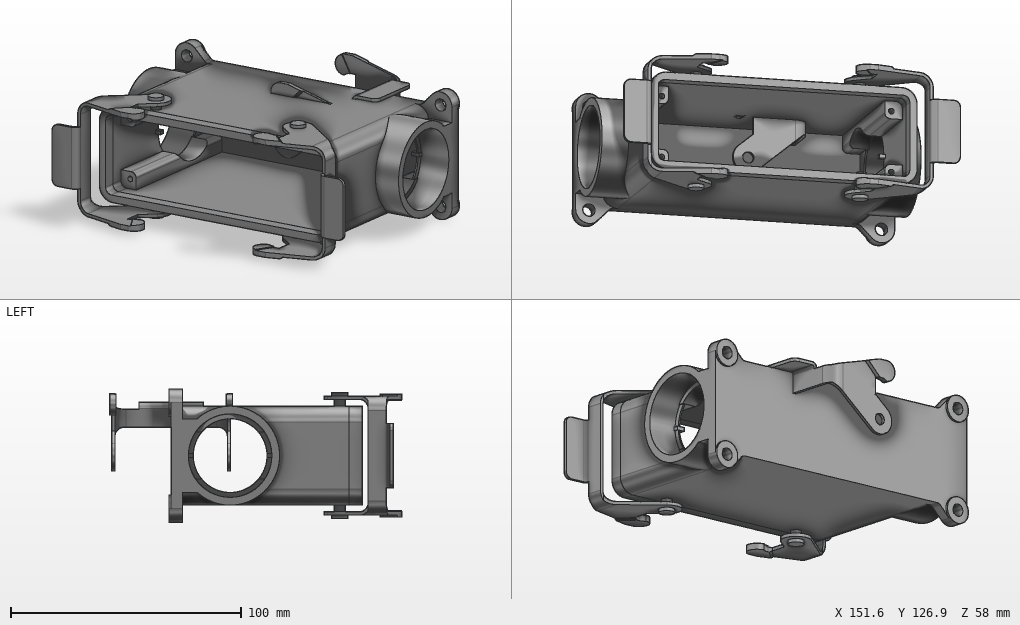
import cadquery as cq
import math

HOUSING_WIDTH = 120.0
HOUSING_HEIGHT = 43.0
HOUSING_DEPTH = 83.0
HOUSING_CORNER_RADIUS = 7.0
RIM_DEPTH = 5.75

CAVITY_WIDTH = 113.4
CAVITY_HEIGHT = 36.2
CAVITY_CORNER_RADIUS = 3.0
BACK_WALL = 3.4

POST_SIZE = 7.9
POST_CORNER_RADIUS = 2.5
POST_FRONT_Y = -71.0
SCREW_HOLE_DIAMETER = 2.46
SCREW_HOLE_DEPTH = 12.0
SCREW_HOLE_X = 51.8
SCREW_HOLE_Z = 13.6

TUBE_END_X = 72.0
TUBE_AXIS_Y = -25.6
TUBE_RADIUS = HOUSING_HEIGHT / 2
TUBE_BORE_DIAMETER = 36.24
TUBE_SHOULDER_X = 58.0
ENTRY_DIAMETER = 32.0
BLOCK_HEIGHT = 32.0
SHOULDER_RECESS_DEPTH = 0.5
SHOULDER_RECESS_HEIGHT = 20.4
RIB_THICKNESS = 1.7
RIB_INNER_X = 54.0
RIB_OUTER_RADIUS = 18.3

FLANGE_THICKNESS = 5.0
EAR_DIAMETER = 12.0
EAR_X = TUBE_END_X - EAR_DIAMETER / 2
EAR_Z = 23.0
EAR_PAD_HEIGHT = 1.0
EAR_HOLE_DIAMETER = 5.5
EAR_ROOT_RADIUS = 2.5

PIVOT_X = 37.0
PIVOT_Y = -73.2
PIN_DIAMETER = 4.9
PIN_HEAD_DIAMETER = 7.0
PIN_END_Z = 27.4

SHEET = 1.5
ARM_OUTER_W = 25.85
EYE_RADIUS = 6.75
EYE_HOLE_DIAMETER = 5.0
ARM_ANGLE = 39.3
BEND_RADIUS = 6.2
BAR_OUTER_U = 27.4
BAR_NEAR_V = 12.25
BAR_FAR_V = 20.2
NECK_U = 2.4
HOOK_MOUTH_V = 18.65
HOOK_TIP_U = -3.2
HOOK_TIP_V = 22.25
HOOK_TIP_RADIUS = 4.7
HOOK_TIP_BASE_U = HOOK_TIP_U + math.sqrt(HOOK_TIP_RADIUS**2 - (HOOK_TIP_V - HOOK_MOUTH_V) ** 2)
FAR_EDGE_ANGLE = 15.0
HOOK_STEP_START = 11.6
HOOK_STEP_END = 12.7
HOOK_RAISE_OUT = 0.85
HOOK_RAISE_IN = 0.45
HOOK_INNER_STEP_ANGLE = 28.0
LIP_END_U = 38.8
LIP_WIDTH = 28.0
LIP_CORNER_RADIUS = 3.0
LIP_NEAR_V = 21.75
LIP_BEND_RADIUS = 1.3


def rounded_block(width, height, radius, y_front, y_back):
    """Block along Y, with the four edges that run along Y rounded."""
    block = cq.Workplane("XZ", origin=(0, y_back, 0)).rect(width, height).extrude(y_back - y_front)
    return block.edges("|Y").fillet(radius)


def cylinder_x(diameter, x_start, x_end):
    """Cylinder on the cable entry axis."""
    plane = cq.Workplane("YZ", origin=(x_start, TUBE_AXIS_Y, 0))
    return plane.circle(diameter / 2).extrude(x_end - x_start)


def cylinder_y(diameter, x, z, y_front, y_back):
    return cq.Workplane("XZ", origin=(x, y_back, z)).circle(diameter / 2).extrude(y_back - y_front)


def cylinder_z(diameter, z_start, z_end):
    plane = cq.Workplane("XY", origin=(PIVOT_X, PIVOT_Y, z_start))
    return plane.circle(diameter / 2).extrude(z_end - z_start)


def all_four(quarter):
    """The quarter with its mirror images across X = 0 and Z = 0."""
    half = quarter.union(quarter.mirror("YZ"))
    return half.union(half.mirror("XY"))


def both_ends(end):
    return end.union(end.mirror("YZ"))


def make_flange_quarter():
    """Flange corner: an ear whose 45 degree side runs down to the top of the housing."""
    top = HOUSING_HEIGHT / 2
    diagonal = EAR_DIAMETER / 2 * math.sqrt(0.5)
    root_x = EAR_X - diagonal - (EAR_Z + diagonal - top)
    flange = (
        cq.Workplane("XZ")
        .moveTo(0, 0)
        .lineTo(TUBE_END_X, 0)
        .lineTo(TUBE_END_X, EAR_Z)
        .threePointArc((EAR_X, EAR_Z + EAR_DIAMETER / 2), (EAR_X - diagonal, EAR_Z + diagonal))
        .lineTo(root_x, top)
        .lineTo(0, top)
        .close()
        .extrude(FLANGE_THICKNESS)
    )
    root = cq.selectors.NearestToPointSelector((root_x, -FLANGE_THICKNESS / 2, top))
    flange = flange.edges("|Y").edges(root).fillet(EAR_ROOT_RADIUS)
    return flange.union(cylinder_y(EAR_DIAMETER, EAR_X, EAR_Z, -FLANGE_THICKNESS, EAR_PAD_HEIGHT))


def make_pin():
    shaft = cylinder_z(PIN_DIAMETER, CAVITY_HEIGHT / 2, PIN_END_Z)
    return shaft.union(cylinder_z(PIN_HEAD_DIAMETER, ARM_OUTER_W, PIN_END_Z))


def make_post():
    """Screw post in a corner of the cavity."""
    length = -BACK_WALL - POST_FRONT_Y
    inner_x = CAVITY_WIDTH / 2 - POST_SIZE
    inner_z = CAVITY_HEIGHT / 2 - POST_SIZE
    outer_x = (CAVITY_WIDTH + HOUSING_WIDTH) / 4
    outer_z = (CAVITY_HEIGHT + HOUSING_HEIGHT) / 4
    post = (
        cq.Workplane("XZ", origin=(0, -BACK_WALL, 0))
        .moveTo(inner_x, inner_z)
        .lineTo(outer_x, inner_z)
        .lineTo(outer_x, CAVITY_HEIGHT / 2)
        .lineTo(CAVITY_WIDTH / 2, outer_z)
        .lineTo(inner_x, outer_z)
        .close()
        .extrude(length)
    )
    inner_edge = cq.selectors.NearestToPointSelector((inner_x, -BACK_WALL - length / 2, inner_z))
    return post.edges("|Y").edges(inner_edge).fillet(POST_CORNER_RADIUS)


def make_shoulder_recess():
    """Shallow recess in the bore shoulder, between the heights of the screw posts."""
    ring = cylinder_x(TUBE_BORE_DIAMETER, TUBE_SHOULDER_X - SHOULDER_RECESS_DEPTH, TUBE_SHOULDER_X)
    band = cq.Workplane("XY").box(4 * TUBE_END_X, 4 * TUBE_END_X, SHOULDER_RECESS_HEIGHT)
    return ring.intersect(band)


def make_entry_ribs():
    """Two small ribs beside the cable entry, level with its axis."""
    length = TUBE_SHOULDER_X - RIB_INNER_X
    bar = cq.Workplane("XY", origin=(RIB_INNER_X + length / 2, TUBE_AXIS_Y, 0)).box(
        length, 2 * RIB_OUTER_RADIUS, RIB_THICKNESS
    )
    return bar.cut(cylinder_x(ENTRY_DIAMETER, 0, TUBE_END_X))


def make_housing():
    rear_of_rim = -HOUSING_DEPTH + RIM_DEPTH
    body = rounded_block(HOUSING_WIDTH, HOUSING_HEIGHT, HOUSING_CORNER_RADIUS, rear_of_rim, 0)
    block = cq.Workplane("XY").box(
        2 * TUBE_END_X, -TUBE_AXIS_Y, BLOCK_HEIGHT, centered=(True, False, True)
    )
    body = body.union(block.translate((0, TUBE_AXIS_Y, 0)))
    body = body.union(cylinder_x(2 * TUBE_RADIUS, -TUBE_END_X, TUBE_END_X))
    body = body.union(all_four(make_flange_quarter()))

    body = body.cut(
        rounded_block(CAVITY_WIDTH, CAVITY_HEIGHT, CAVITY_CORNER_RADIUS, rear_of_rim, -BACK_WALL)
    )
    body = body.union(all_four(make_post()))
    body = body.union(all_four(make_pin()))

    bores = cylinder_x(TUBE_BORE_DIAMETER, TUBE_SHOULDER_X, TUBE_END_X)
    body = body.cut(both_ends(bores.union(make_shoulder_recess())))
    body = body.cut(cylinder_x(ENTRY_DIAMETER, -TUBE_END_X, TUBE_END_X))
    body = body.union(both_ends(make_entry_ribs()))

    screw_hole = cylinder_y(
        SCREW_HOLE_DIAMETER, SCREW_HOLE_X, SCREW_HOLE_Z, POST_FRONT_Y, POST_FRONT_Y + SCREW_HOLE_DEPTH
    )
    ear_hole = cylinder_y(EAR_HOLE_DIAMETER, EAR_X, EAR_Z, -FLANGE_THICKNESS, EAR_PAD_HEIGHT)
    return body.cut(all_four(screw_hole.union(ear_hole)))


def make_rim():
    rear = -HOUSING_DEPTH + RIM_DEPTH
    frame = rounded_block(HOUSING_WIDTH, HOUSING_HEIGHT, HOUSING_CORNER_RADIUS, -HOUSING_DEPTH, rear)
    opening = rounded_block(CAVITY_WIDTH, CAVITY_HEIGHT, CAVITY_CORNER_RADIUS, -HOUSING_DEPTH, rear)
    return frame.cut(opening)


def make_side_outline(height):
    """Side outline of the lever, extruded symmetrically about W = 0."""
    cosine = math.cos(math.radians(ARM_ANGLE))
    sine = math.sin(math.radians(ARM_ANGLE))
    bar_edge_u = (EYE_RADIUS + BAR_NEAR_V * cosine) / sine
    neck_v = (EYE_RADIUS + NECK_U * sine) / cosine
    hook_far_v = HOOK_TIP_V + HOOK_TIP_RADIUS
    hook_flat_u = BAR_OUTER_U - SHEET - (hook_far_v - BAR_FAR_V) / math.tan(math.radians(FAR_EDGE_ANGLE))
    return (
        cq.Workplane("XY")
        .moveTo(EYE_RADIUS * sine, -EYE_RADIUS * cosine)
        .lineTo(bar_edge_u, BAR_NEAR_V)
        .lineTo(BAR_OUTER_U, BAR_NEAR_V)
        .lineTo(BAR_OUTER_U, BAR_FAR_V)
        .lineTo(BAR_OUTER_U - SHEET, BAR_FAR_V)
        .lineTo(hook_flat_u, hook_far_v)
        .lineTo(HOOK_TIP_U, hook_far_v)
        .threePointArc((HOOK_TIP_U - HOOK_TIP_RADIUS, HOOK_TIP_V), (HOOK_TIP_U, HOOK_TIP_V - HOOK_TIP_RADIUS))
        .radiusArc((HOOK_TIP_BASE_U, HOOK_MOUTH_V), HOOK_TIP_RADIUS)
        .lineTo(NECK_U, HOOK_MOUTH_V)
        .lineTo(NECK_U, neck_v)
        .lineTo(-EYE_RADIUS * sine, EYE_RADIUS * cosine)
        .threePointArc((-EYE_RADIUS * cosine, -EYE_RADIUS * sine), (EYE_RADIUS * sine, -EYE_RADIUS * cosine))
        .close()
        .extrude(height / 2, both=True)
    )


def make_bent_strip(side_outline):
    """U-shaped sheet, two arms and a crossbar, trimmed to the side outline."""
    reach = 4 * EYE_RADIUS
    depth = 2 * reach

    def u_block(outer_u, half_w, radius):
        block = cq.Workplane("XY").box(
            outer_u + reach, depth, 2 * half_w, centered=(False, True, True)
        ).translate((-reach, depth / 4, 0))
        return block.edges("|Y and >X").fillet(radius)

    strip = u_block(BAR_OUTER_U, ARM_OUTER_W, BEND_RADIUS)
    strip = strip.cut(u_block(BAR_OUTER_U - SHEET, ARM_OUTER_W - SHEET, BEND_RADIUS - SHEET))
    return strip.intersect(side_outline)


def make_hook_pad(side_outline):
    """Hook of the +W arm: raised outside past a sloped diagonal step, and thicker inside at the tip."""
    inner_w = ARM_OUTER_W - SHEET
    far = 3 * HOOK_STEP_END
    diagonal = cq.Plane(origin=(0, 0, 0), xDir=(-1, 1, 0), normal=(1, 1, 0))
    wedge = (
        cq.Workplane(diagonal)
        .polyline(
            [
                (HOOK_STEP_START, inner_w),
                (HOOK_STEP_START, ARM_OUTER_W),
                (HOOK_STEP_END, ARM_OUTER_W + HOOK_RAISE_OUT),
                (far, ARM_OUTER_W + HOOK_RAISE_OUT),
                (far, inner_w),
            ]
        )
        .close()
        .extrude(2 * far, both=True)
    )
    tip = cq.Workplane("XY").box(far, 2 * far, HOOK_RAISE_IN + SHEET, centered=(False, True, False))
    tip = tip.rotate((0, 0, 0), (0, 0, 1), 180 + HOOK_INNER_STEP_ANGLE)
    tip = tip.translate((HOOK_TIP_BASE_U, HOOK_MOUTH_V, inner_w - HOOK_RAISE_IN))
    beyond_mouth = cq.Workplane("XY").box(2 * far, far, 4 * ARM_OUTER_W, centered=(True, False, True))
    tip = tip.intersect(beyond_mouth.translate((0, HOOK_TIP_V - HOOK_TIP_RADIUS, 0)))
    return wedge.union(tip).intersect(side_outline)


def make_lip():
    """Finger lip bent outwards from the far edge of the crossbar."""
    bar_inner_u = BAR_OUTER_U - SHEET
    centre_u = BAR_OUTER_U + LIP_BEND_RADIUS
    centre_v = LIP_NEAR_V - LIP_BEND_RADIUS
    far_v = LIP_NEAR_V + SHEET
    lip = (
        cq.Workplane("XY", origin=(0, 0, -LIP_WIDTH / 2))
        .moveTo(bar_inner_u, BAR_FAR_V)
        .lineTo(BAR_OUTER_U, BAR_FAR_V)
        .lineTo(BAR_OUTER_U, centre_v)
        .radiusArc((centre_u, LIP_NEAR_V), LIP_BEND_RADIUS)
        .lineTo(LIP_END_U, LIP_NEAR_V)
        .lineTo(LIP_END_U, far_v)
        .lineTo(centre_u, far_v)
        .radiusArc((bar_inner_u, centre_v), -LIP_BEND_RADIUS - SHEET)
        .close()
        .extrude(LIP_WIDTH)
    )
    return lip.edges("|Y and >X").fillet(LIP_CORNER_RADIUS)


def make_lever():
    """Locking lever with its pivot on the Z axis: U is +X, V is +Y and W is Z."""
    side_outline = make_side_outline(4 * ARM_OUTER_W)
    pad = make_hook_pad(side_outline)
    lever = make_bent_strip(side_outline).union(pad).union(pad.mirror("XY")).union(make_lip())
    eye_hole = cq.Workplane("XY").circle(EYE_HOLE_DIAMETER / 2).extrude(2 * ARM_OUTER_W, both=True)
    return lever.cut(eye_hole)


lever = make_lever()

right_lever = lever.rotate((0, 0, 0), (1, 0, 0), 180).translate((PIVOT_X, PIVOT_Y, 0))
left_lever = right_lever.mirror("YZ")

loose_lever = lever.rotate((0, 0, 0), (1, 0, 0), 90)

housing = make_housing().cut(loose_lever)
rim = make_rim()

result = cq.Compound.makeCompound(
    [housing.val(), rim.val(), left_lever.val(), right_lever.val(), loose_lever.val()]
)